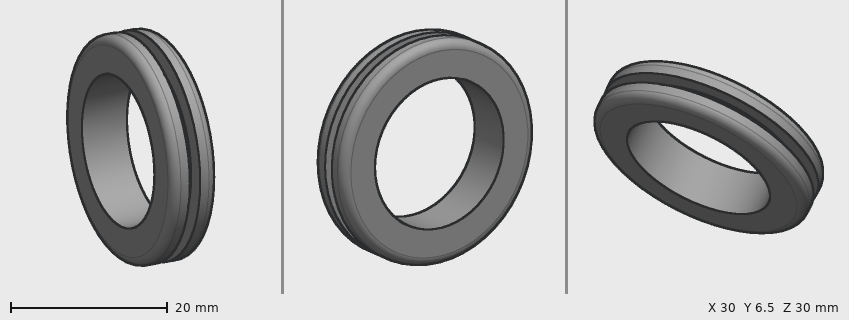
import cadquery as cq

outer_diameter = 30.0
groove_diameter = 25.0
bore_diameter = 20.0
width = 6.5
groove_width = 1.5
rim_radius = 1.23


def disc(diameter, length):
    """Cylinder along Y, centred on the origin."""
    return cq.Workplane("XZ").cylinder(length, diameter / 2)


body = disc(outer_diameter, width).edges("%CIRCLE").fillet(rim_radius)

groove = disc(outer_diameter, groove_width).cut(disc(groove_diameter, groove_width))

bore = disc(bore_diameter, width)

result = body.cut(groove).cut(bore)